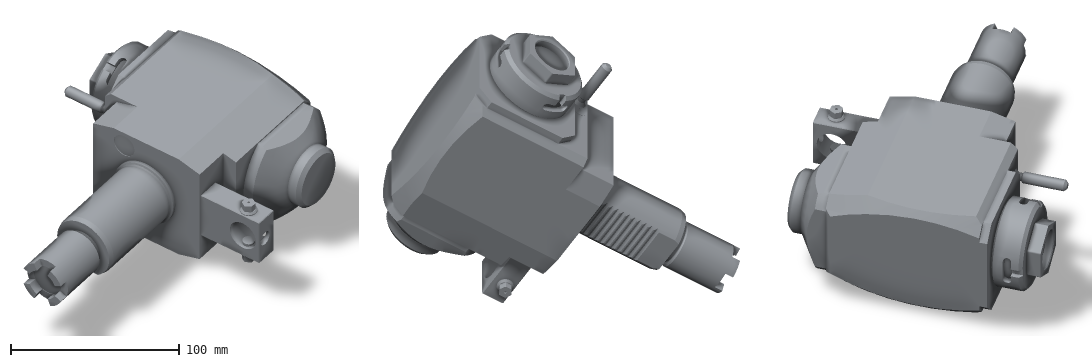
import cadquery as cq
import math


body_left = -47.5
body_right = 48.8
body_back = 103.0
body_front = 24.0
body_height = 75.0
body_half_height = body_height / 2
left_bevel_length = 4.4
left_bevel_drop = 4.0
back_right_chamfer = 3.7

base_left = -38.9
base_right = 39.5
slope_angle = 15.0
slope_start_left = -23.7
slope_start_right = 24.1

crown_centre_x = -9.4
crown_radius = 189.1
crown_chamfer = 4.0

tool_axis_y = 69.0

plate_thickness = 5.0
plate_front = 35.8
plate_half_height = body_half_height - left_bevel_drop
plate_corner = 8.7

nut_radius = 27.5
nut_left = -72.0
nut_right = -53.8
nut_face_chamfer = 2.0
nut_neck_radius = 25.8
nut_slot_count = 3
nut_slot_width = 5.2
nut_slot_length = 19.1
nut_slot_depth = 3.7
nut_notch_depth = 3.1
nut_slot_x = -62.5

hex_flats = 31.8
hex_left = -80.2
hex_corner_round = 1.0
hex_bore_radius = 11.8
hex_bore_depth = 5.2
hex_bore_chamfer = 0.6

cap_radius = 37.6
cap_root = body_right - 2.0
cap_flange_end = 55.7
cap_cone_end = 68.2
cap_tip_radius = 19.5
cap_end = 76.7
cap_tip_chamfer = 2.5
cap_half_height = 30.0

pin_y = 29.7
pin_z = 17.5
pin_left = hex_left
pin_radius = 3.5
pin_chamfer = 1.7
pin_taper_left = -53.0
pin_neck_left = -52.2
pin_neck_radius = 2.5
pin_flare_left = -49.7
pin_foot_radius = 4.4
plug_z = 10.2
plug_radius = 4.5
plug_bore_radius = 1.5
plug_height = 0.2

recess_x = -16.0
recess_z = 27.6
recess_radius = 7.5
recess_depth = 0.5

shank_radius = 20.0
shank_end = -63.4
shank_tip_length = 3.3
shank_tip_taper = 0.8
shank_collar_radius = 21.6
shank_collar_length = 2.0
shank_shoulder_width = 0.6
shank_shoulder_end = 3.7
shank_flat_z = -15.8
shank_flat_start = -9.1
tooth_pitch = 4.0
tooth_count = 10
tooth_depth = 1.2
tooth_groove_width = 3.1
first_groove_y = -11.6

spindle_neck_radius = 12.3
spindle_radius = 15.0
spindle_start = -66.7
spindle_end = -104.8
spindle_chamfer = 0.8
claw_length = 5.5
claw_count = 4
claw_gap_angle = 47.0
claw_bore_radius = 10.0
claw_bore_extra_depth = 0.5

arm_right = 82.3
arm_front = 1.5
arm_back = 16.2
arm_height = 31.8
arm_half_height = arm_height / 2
arm_chamfer = 0.5
arm_hole_x = 70.3
arm_hole_radius = 9.5
arm_cross_hole_radius = 4.5
screw_y = 7.3
screw_tip_z = 7.7
screw_shank_radius = 3.7
screw_flange_radius = 5.2
screw_flange_top_radius = 4.2
screw_flange_rim = 0.6
screw_flange_height = 1.7
screw_head_flats = 7.3
screw_head_round = 0.6
screw_top_z = 22.0
screw_socket_radius = 0.8
screw_socket_depth = 1.0

cut_clearance = 2.0
slope_fall = math.tan(math.radians(slope_angle))


def box(x0, x1, y0, y1, z0, z1):
    return cq.Workplane("XY").box(x1 - x0, y1 - y0, z1 - z0, centered=False).translate((x0, y0, z0))


def turned_on_x(points, y=0, z=0):
    """Solid of revolution about an X-parallel axis from (x, radius) points."""
    profile = cq.Workplane("XY").polyline(points).close()
    return profile.revolve(360, (0, 0, 0), (1, 0, 0)).translate((0, y, z))


def turned_on_y(points):
    """Solid of revolution about the Y axis from (radius, y) points."""
    return cq.Workplane("XY").polyline(points).close().revolve(360, (0, 0, 0), (0, 1, 0))


def extruded_along_y(points, y0, y1):
    """Prism with an (x, z) outline between two Y positions."""
    return cq.Workplane("XZ", origin=(0, y0, 0)).polyline(points).close().extrude(y0 - y1)


def mirrored_outline(upper):
    """Close an upper (x, z) edge with its mirror image below Z = 0."""
    return upper + [(x, -z) for x, z in reversed(upper)]


def right_slope_z(x):
    return body_half_height - (x - slope_start_right) * slope_fall


def crown_cutter():
    """Material outside the curved 45 degree bevel on the upper back edge."""
    crest = (body_back + body_half_height - crown_chamfer) / math.sqrt(2)
    reach = 124.7
    outside = cq.Workplane("XY").rect(2 * reach, 2 * reach).extrude(2 * reach)
    outside = outside.translate((crown_centre_x, crest, -reach))
    drum = cq.Workplane("XY").circle(crown_radius).extrude(2 * reach)
    drum = drum.translate((crown_centre_x, crest - crown_radius, -reach))
    return outside.cut(drum).rotate((0, 0, 0), (1, 0, 0), 45)


def housing():
    main_edge = [
        (body_left, body_half_height - left_bevel_drop),
        (body_left + left_bevel_length, body_half_height),
        (slope_start_right, body_half_height),
        (body_right, right_slope_z(body_right)),
    ]
    main = extruded_along_y(mirrored_outline(main_edge), body_front, body_back)
    main = main.edges("|Z and >X and >Y").chamfer(back_right_chamfer)
    cutter = crown_cutter()
    main = main.cut(cutter).cut(cutter.mirror("XY"))

    base_edge = [
        (base_left, body_half_height - (slope_start_left - base_left) * slope_fall),
        (slope_start_left, body_half_height),
        (slope_start_right, body_half_height),
        (base_right, right_slope_z(base_right)),
    ]
    base = extruded_along_y(mirrored_outline(base_edge), 0, body_front)
    recess = cq.Workplane("XZ").center(recess_x, recess_z).circle(recess_radius).extrude(-recess_depth)
    return main.union(base).cut(recess)


def face_plate():
    plate = box(
        body_left - plate_thickness, body_left,
        plate_front, body_back,
        -plate_half_height, plate_half_height,
    )
    return plate.edges("|X").chamfer(plate_corner)


def nut_slots():
    """Face notches, each running into a round-ended slot around the rim."""
    floor_radius = nut_radius - nut_slot_depth
    notch = box(
        nut_left, nut_slot_x,
        nut_radius - nut_notch_depth, nut_radius + cut_clearance,
        -nut_slot_width / 2, nut_slot_width / 2,
    )
    rim_slot = (
        cq.Workplane("XZ", origin=(nut_slot_x, 0, 0))
        .slot2D(nut_slot_length, nut_slot_width, 90)
        .extrude(-(nut_radius + cut_clearance))
    )
    core = turned_on_x([
        (nut_left, 0), (nut_left, floor_radius), (nut_right, floor_radius), (nut_right, 0),
    ])
    rim_slot = rim_slot.cut(core)
    one = notch.union(rim_slot)
    slots = one
    for i in range(1, nut_slot_count):
        slots = slots.union(one.rotate((0, 0, 0), (1, 0, 0), i * 360 / nut_slot_count))
    return slots.translate((0, tool_axis_y, 0))


def collet_nut():
    nut = turned_on_x([
        (nut_left, 0),
        (nut_left, nut_radius - nut_face_chamfer),
        (nut_left + nut_face_chamfer, nut_radius),
        (nut_right, nut_radius),
        (nut_right, nut_neck_radius),
        (body_left, nut_neck_radius),
        (body_left, 0),
    ], tool_axis_y)
    hex_corners = hex_flats / math.cos(math.radians(30))
    hexagon = (
        cq.Workplane("YZ", origin=(hex_left, tool_axis_y, 0))
        .transformed(rotate=(0, 0, 90))
        .polygon(6, hex_corners)
        .extrude(nut_left - hex_left)
        .edges("|X").fillet(hex_corner_round)
    )
    bore = turned_on_x([
        (hex_left, 0),
        (hex_left, hex_bore_radius + hex_bore_chamfer),
        (hex_left + hex_bore_chamfer, hex_bore_radius),
        (hex_left + hex_bore_depth, hex_bore_radius),
        (hex_left + hex_bore_depth, 0),
    ], tool_axis_y)
    return nut.cut(nut_slots()).union(hexagon).cut(bore)


def bearing_cap():
    cap = turned_on_x([
        (cap_root, 0),
        (cap_root, cap_radius),
        (cap_flange_end, cap_radius),
        (cap_cone_end, cap_tip_radius),
        (cap_end - cap_tip_chamfer, cap_tip_radius),
        (cap_end, cap_tip_radius - cap_tip_chamfer),
        (cap_end, 0),
    ], tool_axis_y)
    slope_meets_flat = slope_start_right + (body_half_height - cap_half_height) / slope_fall
    envelope_edge = [
        (cap_root, cap_half_height),
        (slope_meets_flat, cap_half_height),
        (cap_end, right_slope_z(cap_end)),
    ]
    envelope = extruded_along_y(
        mirrored_outline(envelope_edge),
        tool_axis_y - cap_radius,
        body_back - back_right_chamfer,
    )
    return cap.intersect(envelope)


def stop_pin():
    return turned_on_x([
        (pin_left, 0),
        (pin_left, pin_radius - pin_chamfer),
        (pin_left + pin_chamfer, pin_radius),
        (pin_taper_left, pin_radius),
        (pin_neck_left, pin_neck_radius),
        (pin_flare_left, pin_neck_radius),
        (body_left, pin_foot_radius),
        (body_left, 0),
    ], pin_y, pin_z)


def plug():
    return (
        cq.Workplane("YZ", origin=(body_left, pin_y, plug_z))
        .circle(plug_radius)
        .circle(plug_bore_radius)
        .extrude(-plug_height)
    )


def shank():
    body = turned_on_y([
        (0, 0),
        (shank_collar_radius, 0),
        (shank_collar_radius, -shank_collar_length),
        (shank_radius + shank_shoulder_width, -shank_collar_length - shank_shoulder_width),
        (shank_radius, -shank_shoulder_end),
        (shank_radius, shank_end + shank_tip_length),
        (shank_radius - shank_tip_taper, shank_end),
        (0, shank_end),
    ])
    run_out = shank_collar_radius + shank_flat_z
    clearance = cq.Workplane("YZ", origin=(-shank_collar_radius, 0, 0)).polyline([
        (shank_flat_start + run_out, -shank_collar_radius),
        (shank_flat_start, shank_flat_z),
        (shank_end, shank_flat_z),
        (shank_end, -shank_collar_radius),
    ]).close().extrude(2 * shank_collar_radius)
    body = body.cut(clearance)
    for i in range(tooth_count):
        y = first_groove_y - i * tooth_pitch
        groove = cq.Workplane("YZ", origin=(-shank_collar_radius, 0, 0)).polyline([
            (y - tooth_groove_width / 2, shank_flat_z),
            (y, shank_flat_z + tooth_depth),
            (y + tooth_groove_width / 2, shank_flat_z),
        ]).close().extrude(2 * shank_collar_radius)
        body = body.cut(groove)
    return body


def spindle():
    body = turned_on_y([
        (0, shank_end),
        (spindle_neck_radius, shank_end),
        (spindle_neck_radius, spindle_start),
        (spindle_radius - spindle_chamfer, spindle_start),
        (spindle_radius, spindle_start - spindle_chamfer),
        (spindle_radius, spindle_end),
        (0, spindle_end),
    ])
    claw_root = spindle_end + claw_length
    bore_depth = claw_length + claw_bore_extra_depth
    bore = cq.Workplane("XZ", origin=(0, spindle_end, 0)).circle(claw_bore_radius)
    body = body.cut(bore.extrude(-bore_depth))
    reach = 2 * spindle_radius
    half_width = reach * math.tan(math.radians(claw_gap_angle / 2))
    gap = extruded_along_y([(0, 0), (reach, half_width), (reach, -half_width)], spindle_end, claw_root)
    for i in range(claw_count):
        body = body.cut(gap.rotate((0, 0, 0), (0, 1, 0), i * 360 / claw_count))
    return body


def clamp_screw():
    """Upper screw: shank into the arm hole, conical flange, hexagon head with a small socket."""
    flange_top = arm_half_height + screw_flange_height
    stem = cq.Workplane("XZ").polyline([
        (0, screw_tip_z),
        (screw_shank_radius, screw_tip_z),
        (screw_shank_radius, arm_half_height),
        (screw_flange_radius, arm_half_height),
        (screw_flange_radius, arm_half_height + screw_flange_rim),
        (screw_flange_top_radius, flange_top),
        (0, flange_top),
    ]).close().revolve(360, (0, 0, 0), (0, 1, 0))
    head = (
        cq.Workplane("XY", origin=(0, 0, arm_half_height))
        .transformed(rotate=(0, 0, 90))
        .polygon(6, screw_head_flats / math.cos(math.radians(30)))
        .extrude(screw_top_z - arm_half_height)
        .edges("|Z").fillet(screw_head_round)
    )
    socket = (
        cq.Workplane("XY", origin=(0, 0, screw_top_z))
        .circle(screw_socket_radius)
        .extrude(-screw_socket_depth)
    )
    return stem.union(head).cut(socket).translate((arm_hole_x, screw_y, 0))


def side_arm():
    arm = box(base_right, arm_right, arm_front, arm_back, -arm_half_height, arm_half_height)
    arm = arm.edges("not(<X)").chamfer(arm_chamfer)
    hole = cq.Workplane("XZ", origin=(arm_hole_x, arm_back, 0)).circle(arm_hole_radius)
    cross_hole = cq.Workplane("YZ", origin=(arm_hole_x, screw_y, 0)).circle(arm_cross_hole_radius)
    arm = arm.cut(hole.extrude(arm_back - arm_front))
    arm = arm.cut(cross_hole.extrude(arm_right - arm_hole_x))
    screw = clamp_screw()
    return arm.union(screw).union(screw.mirror("XY"))


result = housing()
for feature in (face_plate, collet_nut, bearing_cap, stop_pin, plug, shank, spindle, side_arm):
    result = result.union(feature())